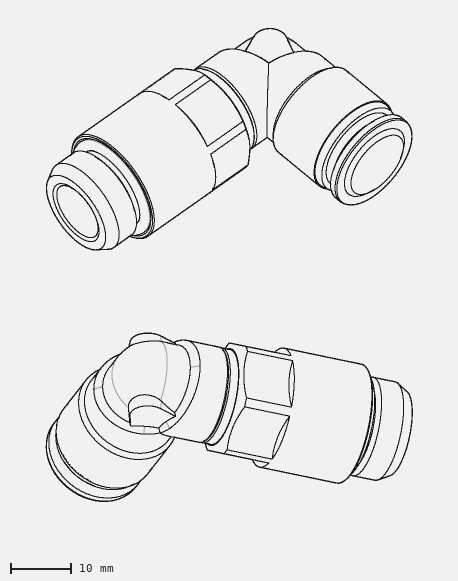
import cadquery as cq
import math


bend_r = 6.95
leg_r = 8.0
leg_tilt = 15.0
shoulder_at = 3.3
shoulder_height = 1.15
shoulder_taper = 53.0
elbow_end = 10.55
elbow_end_chamfer = 0.3

pad_half_height = bend_r
pad_nose_center = 1.45
pad_nose_r = 2.9
pad_side_angle = 22.0
pad_draft = 13.0
pad_depth = 4.15
pad_inner_reach = 3.65

socket_foot = 9.5
socket_r = 8.75
socket_start = 10.3
socket_end = 20.2
cap_r = 8.55
cap_tip_r = 8.3
cap_end = 21.55
guide_r = 7.3
guide_tip_r = 6.85
guide_end = 22.85
collar_neck_r = 6.05
collar_flare_start = 23.4
collar_flare_r = 6.45
flange_start = 23.95
flange_r = 8.55
flange_edge_start = 25.05
flange_edge_r = 8.45
flange_end = 25.35
collar_nose_r = 6.7
collar_tip_r = 5.9
collar_end = 26.0

body_r = 10.0
across_flats = 18.0
hex_turn = 3.0
cone_slope = math.tan(math.radians(30))
spigot_r = 6.65
spigot_length = 0.2
journal_r = 7.95
hex_top = 12.25
hex_top_r = 8.1
hex_bottom = 21.3
body_end = 35.25
body_end_chamfer = 0.2
stem_end = 43.3
thread_r = 8.3
thread_start = 37.4
thread_relief_end = 36.8
thread_chamfer_start = 41.3
neck_r = 7.2

groove_mouth_r = 9.35
groove_floor_r = 8.85
groove_depth = 0.5
seal_center_r = 8.1
seal_section_r = 0.965
seal_at = 35.25

bore_r = 5.0
bore_mouth_r = 5.55
bore_chamfer_depth = 0.3
bore_depth = 6.0


def revolve_about_x(points):
    """Solid of revolution about X from (x, radius) points."""
    return cq.Workplane("XY").polyline(points).close().revolve(360, (0, 0, 0), (1, 0, 0))


def revolve_about_y(points):
    """Solid of revolution about Y from (distance along -Y, radius) points."""
    outline = [(radius, -station) for station, radius in points]
    return cq.Workplane("XY").polyline(outline).close().revolve(360, (0, 0, 0), (0, 1, 0))


def mirror_across_diagonal(shape):
    """Swap the stem direction (-Y) and the socket direction (+X)."""
    return shape.rotate((0, 0, 0), (0, 0, 1), 90).mirror("XZ")


def shoulder_plane():
    """Leaning plane where a leg along -Y begins, facing the bend."""
    tilt = math.radians(leg_tilt)
    return cq.Plane(
        origin=(0, -shoulder_at, 0),
        xDir=(math.cos(tilt), math.sin(tilt), 0),
        normal=(-math.sin(tilt), math.cos(tilt), 0),
    )


def make_leg(length):
    """Leg along -Y with its tilted, sloping shoulder."""
    ellipse_half_length = leg_r / math.cos(math.radians(leg_tilt))
    bar = cq.Workplane("XZ").circle(leg_r).extrude(length)
    beyond_shoulder = cq.Workplane(shoulder_plane()).circle(2 * leg_r).extrude(2 * leg_r)
    shoulder = (
        cq.Workplane(shoulder_plane())
        .ellipse(ellipse_half_length, leg_r)
        .extrude(shoulder_height, taper=shoulder_taper)
    )
    return bar.cut(beyond_shoulder).union(shoulder)


def make_bend():
    """Round bend, with arms that end inside the legs."""
    ball = cq.Workplane("XY").sphere(bend_r)
    stem_side = cq.Workplane("XZ").circle(bend_r).extrude(socket_foot)
    socket_side = cq.Workplane("YZ").circle(bend_r).extrude(socket_foot)
    return ball.union(stem_side).union(socket_side)


def make_pad():
    """Upper pad: round nose outwards, sides spreading towards the legs, drafted walls."""
    lean = math.radians(pad_side_angle)
    tangent_at = pad_nose_center + pad_nose_r * math.sin(lean)
    tangent_half = pad_nose_r * math.cos(lean)
    inner_half = tangent_half + (tangent_at + pad_inner_reach) * math.tan(lean)
    diagonal = cq.Plane(
        origin=(0, 0, pad_half_height), xDir=(-1, 1, 0), normal=(0, 0, -1)
    )
    return (
        cq.Workplane(diagonal)
        .moveTo(-pad_inner_reach, -inner_half)
        .lineTo(tangent_at, -tangent_half)
        .threePointArc((pad_nose_center + pad_nose_r, 0), (tangent_at, tangent_half))
        .lineTo(-pad_inner_reach, inner_half)
        .close()
        .extrude(pad_depth, taper=-pad_draft)
    )


def make_socket():
    """Tube socket, its end cap and the release collar, all round about X."""
    return revolve_about_x([
        (socket_foot, 0),
        (socket_foot, leg_r),
        (socket_start, socket_r),
        (socket_end, socket_r),
        (socket_end, cap_r),
        (cap_end, cap_tip_r),
        (cap_end, guide_r),
        (guide_end, guide_tip_r),
        (guide_end, collar_neck_r),
        (collar_flare_start, collar_neck_r),
        (flange_start, collar_flare_r),
        (flange_start, flange_r),
        (flange_edge_start, flange_r),
        (flange_end, flange_edge_r),
        (flange_end, collar_nose_r),
        (collar_end, collar_tip_r),
        (collar_end, 0),
    ])


def make_elbow():
    stem_leg = make_leg(elbow_end).faces("<Y").edges().chamfer(elbow_end_chamfer)
    socket_leg = mirror_across_diagonal(make_leg(socket_foot))
    pad = make_pad()
    return (
        make_bend()
        .union(stem_leg)
        .union(socket_leg)
        .union(make_socket())
        .union(pad)
        .union(pad.mirror("XY"))
    )


def make_hex_cutter():
    """Everything outside the hexagon, ended below by the cone the cutter leaves on each flat."""
    corner_diameter = across_flats / math.cos(math.radians(30))
    turn_from_corners = 30 - hex_turn
    hexagon = (
        cq.Workplane("XZ")
        .polygon(6, corner_diameter)
        .extrude(hex_bottom)
        .rotate((0, 0, 0), (0, 1, 0), turn_from_corners)
    )
    cone_height = body_r * cone_slope
    sleeve = revolve_about_y([
        (0, 0),
        (0, 2 * body_r),
        (hex_bottom + cone_height, 2 * body_r),
        (hex_bottom - cone_height, 0),
    ])
    return sleeve.cut(hexagon)


def make_stem_blank():
    """Turned shape of the stem, before the flats, seal ring and bore."""
    spigot_end = elbow_end + spigot_length
    shoulder = hex_top + (body_r - hex_top_r) * cone_slope
    return revolve_about_y([
        (elbow_end, 0),
        (elbow_end, spigot_r),
        (spigot_end, spigot_r),
        (spigot_end, journal_r),
        (hex_top, journal_r),
        (hex_top, hex_top_r),
        (shoulder, body_r),
        (body_end - body_end_chamfer, body_r),
        (body_end, body_r - body_end_chamfer),
        (body_end, groove_mouth_r),
        (body_end - groove_depth, groove_floor_r),
        (body_end - groove_depth, neck_r),
        (thread_relief_end, neck_r),
        (thread_start, thread_r),
        (thread_chamfer_start, thread_r),
        (stem_end, neck_r),
        (stem_end, 0),
    ])


def make_seal_ring():
    """Round ring seated in the end face groove, part of the stem."""
    return (
        cq.Workplane("XY")
        .center(seal_center_r, -seal_at)
        .circle(seal_section_r)
        .revolve(360, (-seal_center_r, 0, 0), (-seal_center_r, 1, 0))
    )


def make_bore():
    """Blind bore with a chamfered mouth."""
    floor = stem_end - bore_depth
    return revolve_about_y([
        (floor, 0),
        (floor, bore_r),
        (stem_end - bore_chamfer_depth, bore_r),
        (stem_end, bore_mouth_r),
        (stem_end, 0),
    ])


def make_stem():
    return (
        make_stem_blank()
        .cut(make_hex_cutter())
        .union(make_seal_ring())
        .cut(make_bore())
    )


elbow = make_elbow()
stem = make_stem()
result = cq.Compound.makeCompound([elbow.val(), stem.val()])